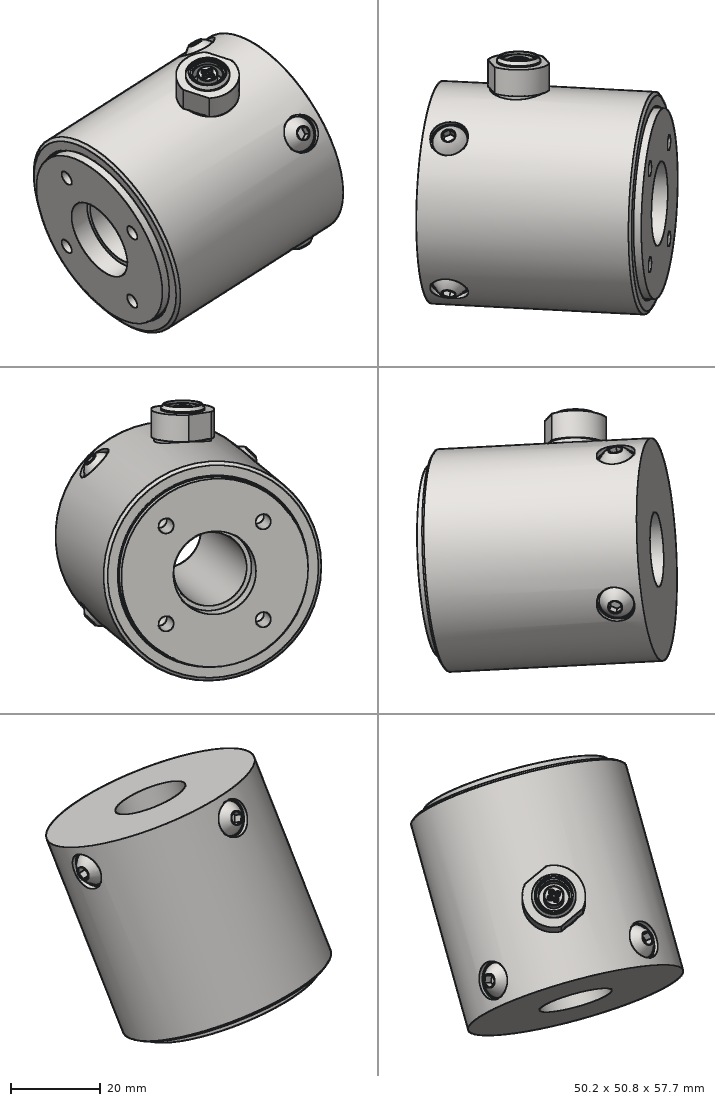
import cadquery as cq
import math


body_diameter = 50.2
total_length = 50.8
pilot_length = 1.7
pilot_diameter = 43.05
pilot_groove_diameter = 43.85
pilot_groove_depth = 0.6
front_chamfer_axial = 0.6
front_chamfer_radial = 0.8
body_radius = body_diameter / 2

bore_diameter = 16.85
counterbore_diameter = 19.05
counterbore_depth = 4.6

mount_hole_diameter = 3.45
mount_hole_spacing = 22.4
mount_hole_depth = 6.9
drill_tip_angle = 118

screw_angles = (45, 135, 225, 315)
screw_setback = 6.1
screw_pocket_diameter = 8.65
screw_seat_radius = 23.7
screw_head_diameter = 7.9
screw_head_height = 2.5
screw_shoulder_diameter = 5.1
screw_shoulder_drop = 0.7
socket_mouth_diameter = 3.25
socket_mouth_depth = 0.25
socket_flats = 2.75
socket_depth = 2.3

connector_setback = 18.6
collar_diameter = 12.9
collar_depth = 3.3
nut_diameter = 14.2
nut_flats = 12.7
nut_flat_angle = 25
nut_clearance = 0.1
nut_height = 6.2
rim_diameter = 9.9
rim_top_diameter = 8.65
rim_height = 1.2
rim_edge_height = 0.35
recess_mouth_diameter = 7.9
recess_mouth_depth = 0.5
recess_upper_diameter = 7.0
recess_upper_depth = 1.3
recess_diameter = 6.9
recess_depth = 4.05
insert_diameter = 4.55
insert_face_diameter = 4.15
insert_edge_height = 0.1
insert_face_depth = 0.65
contact_count = 4
contact_start_angle = 15
contact_circle_radius = 1.0
contact_mouth_diameter = 1.25
contact_mouth_depth = 0.1
contact_upper_diameter = 1.05
contact_upper_depth = 0.3
contact_diameter = 0.7
contact_depth = 1.75


def revolve_about_z(points):
    """Solid of revolution about Z from (radius, height) points."""
    return cq.Workplane("XZ").polyline(points).close().revolve(360, (0, 0), (0, 1))


def cylinder(diameter, bottom, top):
    return cq.Workplane("XY").workplane(offset=bottom).circle(diameter / 2).extrude(top - bottom)


def stepped_hole(top, steps):
    """Hole cutter going down from a height, from (diameter, depth below the top) steps."""
    hole = cq.Workplane("XY")
    for diameter, depth in steps:
        hole = hole.union(cylinder(diameter, top - depth, top))
    return hole


def along_y(shape):
    """Turn a shape built upward along Z so that it runs from y = 0 toward +Y."""
    return shape.rotate((0, 0, 0), (1, 0, 0), -90)


def make_housing():
    pilot_radius = pilot_diameter / 2
    groove_radius = pilot_groove_diameter / 2
    groove_bottom = pilot_length + pilot_groove_depth
    return along_y(revolve_about_z([
        (0, 0),
        (pilot_radius, 0),
        (pilot_radius, groove_bottom),
        (groove_radius, groove_bottom),
        (groove_radius, pilot_length),
        (body_radius - front_chamfer_radial, pilot_length),
        (body_radius, pilot_length + front_chamfer_axial),
        (body_radius, total_length),
        (0, total_length),
    ]))


def make_bore():
    return along_y(cylinder(bore_diameter, 0, total_length).union(
        cylinder(counterbore_diameter, 0, counterbore_depth)))


def make_mount_holes():
    radius = mount_hole_diameter / 2
    tip_length = radius / math.tan(math.radians(drill_tip_angle / 2))
    hole = along_y(revolve_about_z([
        (0, 0),
        (radius, 0),
        (radius, mount_hole_depth),
        (0, mount_hole_depth + tip_length),
    ]))
    holes = cq.Workplane("XY")
    for x in (-mount_hole_spacing / 2, mount_hole_spacing / 2):
        for z in (-mount_hole_spacing / 2, mount_hole_spacing / 2):
            holes = holes.add(hole.translate((x, 0, z)))
    return holes.combine()


def make_screw():
    """Button-head screw head, standing on its seat along +Z."""
    top = screw_seat_radius + screw_head_height
    head = (
        cq.Workplane("XZ")
        .moveTo(0, screw_seat_radius)
        .lineTo(screw_head_diameter / 2, screw_seat_radius)
        .threePointArc((screw_shoulder_diameter / 2, top - screw_shoulder_drop),
                       (socket_mouth_diameter / 2, top))
        .lineTo(0, top)
        .close()
        .revolve(360, (0, 0), (0, 1))
    )
    mouth = cylinder(socket_mouth_diameter, top - socket_mouth_depth, top)
    hex_corners = socket_flats / math.cos(math.pi / 6)
    socket = (
        cq.Workplane("XY")
        .workplane(offset=top - socket_depth)
        .polygon(6, hex_corners)
        .extrude(socket_depth)
    )
    return head.cut(mouth).cut(socket)


def place_screw(shape, angle):
    """Move a shape built along +Z to its place around the housing."""
    return shape.translate((0, total_length - screw_setback, 0)).rotate((0, 0, 0), (0, 1, 0), angle)


def make_connector():
    nut_bottom = body_radius + nut_clearance
    nut_top = nut_bottom + nut_height
    rim_top = nut_top + rim_height
    recess_floor = rim_top - recess_depth

    collar = cylinder(collar_diameter, body_radius - collar_depth, nut_bottom)
    flats = (
        cq.Workplane("XY")
        .workplane(offset=nut_bottom)
        .rect(2 * nut_diameter, nut_flats)
        .extrude(nut_height)
        .rotate((0, 0, 0), (0, 0, 1), nut_flat_angle)
    )
    nut = cylinder(nut_diameter, nut_bottom, nut_top).intersect(flats)
    rim = revolve_about_z([
        (0, nut_top),
        (rim_diameter / 2, nut_top),
        (rim_diameter / 2, nut_top + rim_edge_height),
        (rim_top_diameter / 2, rim_top),
        (0, rim_top),
    ])
    recess = stepped_hole(rim_top, [
        (recess_mouth_diameter, recess_mouth_depth),
        (recess_upper_diameter, recess_upper_depth),
        (recess_diameter, recess_depth),
    ])
    insert_top = rim_top - insert_face_depth
    insert = revolve_about_z([
        (0, recess_floor),
        (insert_diameter / 2, recess_floor),
        (insert_diameter / 2, insert_top - insert_edge_height),
        (insert_face_diameter / 2, insert_top),
        (0, insert_top),
    ])
    connector = collar.union(nut).union(rim).cut(recess).union(insert)

    contact = stepped_hole(insert_top, [
        (contact_mouth_diameter, contact_mouth_depth),
        (contact_upper_diameter, contact_upper_depth),
        (contact_diameter, contact_depth),
    ]).translate((contact_circle_radius, 0, 0))
    for i in range(contact_count):
        angle = contact_start_angle + i * 360 / contact_count
        connector = connector.cut(contact.rotate((0, 0, 0), (0, 0, 1), angle))
    return connector.translate((0, total_length - connector_setback, 0))


housing = make_housing().cut(make_bore()).cut(make_mount_holes())

screw = make_screw()
screw_pocket = cylinder(screw_pocket_diameter, screw_seat_radius, screw_seat_radius + screw_head_height)
for screw_angle in screw_angles:
    housing = housing.cut(place_screw(screw_pocket, screw_angle))
    housing = housing.union(place_screw(screw, screw_angle))

result = housing.union(make_connector())